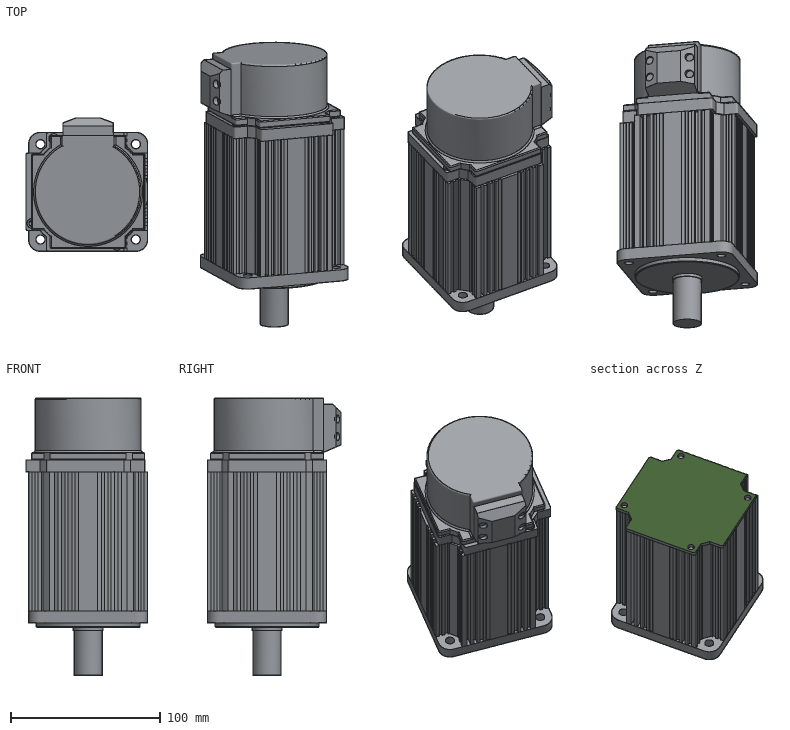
import cadquery as cq


collar_bottom = 30.1
pilot_bottom = 32.2
flange_bottom = 35.2
stator_bottom = 43.0
end_plate_bottom = 136.5
cover_bottom = 144.5
cover_base_top = 149.5
motor_top = 186.0

shaft_radius = 9.5
collar_radius = 10.0

frame_half = 40.0
frame_side = 2 * frame_half
flange_corner_radius = 8.0
bolt_offset = 32.0
bolt_hole_diameter = 6.0
pilot_radius = 35.0
pilot_chamfer = 0.5

arm_half = 26.0
core_radius = frame_half
groove_spans = [(6.3, 9.0), (11.0, 13.4), (15.5, 17.9)]
outer_groove_span = (20.0, 22.5)
shallow_groove_depth = 2.0
side_groove_spans = [(31.5, 33.7), (35.5, 37.5)]
side_groove_depth = 1.1

end_plate_shift = -1.9
end_plate_corner_radius = 1.5
screw_across = 35.7
screw_along = 21.2
screw_head_diameter = 6.7
screw_head_depth = 3.7
screw_hole_diameter = 4.0

cover_base_half = 38.0
cover_arm_half = 25.5
cover_core_radius = 39.0
cover_base_corner_radius = 1.1
cover_base_chamfer = 0.7
drum_radius = 35.5
outlet_half_width = 17.5
outlet_corner_radius = 1.1
drum_edge_radius = 1.0
drum_foot = 1.1

connector_half_width = 17.0
connector_tip_half_width = 8.2
connector_tip = 49.7
connector_bevel_depth = 3.3
connector_top = 182.0
connector_top_bevel = 5.5
connector_tip_bottom = 154.5
connector_hole_diameter = 5.4
connector_hole_x = 13.8
connector_hole_heights = [160.1, 171.9]
connector_hole_floor = 45.4


def cross(half_side, half_arm, height, corner_radius=None):
    """Plus-shaped block that fits a square, with its base at Z = 0 and optionally rounded arm ends."""
    along_x = cq.Workplane("XY").rect(2 * half_side, 2 * half_arm).extrude(height)
    along_y = cq.Workplane("XY").rect(2 * half_arm, 2 * half_side).extrude(height)
    if corner_radius:
        along_x = along_x.edges("|Z").fillet(corner_radius)
        along_y = along_y.edges("|Z").fillet(corner_radius)
    return along_x.union(along_y)


def quarter_turns(shape):
    """The shape and its copies at each quarter turn about the motor axis."""
    return [shape.rotate((0, 0, 0), (0, 0, 1), 90 * turn) for turn in range(4)]


def make_shaft():
    collar = cq.Workplane("XY").workplane(offset=collar_bottom).circle(collar_radius)
    collar = collar.extrude(pilot_bottom - collar_bottom)
    return cq.Workplane("XY").circle(shaft_radius).extrude(collar_bottom).union(collar)


def make_flange():
    plate = (
        cq.Workplane("XY")
        .workplane(offset=flange_bottom)
        .rect(frame_side, frame_side)
        .extrude(stator_bottom - flange_bottom)
        .edges("|Z")
        .fillet(flange_corner_radius)
        .faces(">Z")
        .workplane()
        .rect(2 * bolt_offset, 2 * bolt_offset, forConstruction=True)
        .vertices()
        .hole(bolt_hole_diameter)
    )
    pilot = (
        cq.Workplane("XY")
        .workplane(offset=pilot_bottom)
        .circle(pilot_radius)
        .extrude(flange_bottom - pilot_bottom)
        .faces("<Z")
        .chamfer(pilot_chamfer)
    )
    return plate.union(pilot)


def groove(x_span, y_span, height):
    """Full-height block that cuts one groove."""
    width = x_span[1] - x_span[0]
    depth = y_span[1] - y_span[0]
    corner = (x_span[0], y_span[0], 0)
    return cq.Workplane("XY").box(width, depth, height, centered=False).translate(corner)


def make_stator():
    height = end_plate_bottom - stator_bottom
    stator = cross(frame_half, arm_half, height)
    face_span = (-frame_half, -arm_half)
    shallow_span = (-frame_half, -frame_half + shallow_groove_depth)
    cutters = []
    for start, end in groove_spans:
        cutters.append(groove((start, end), face_span, height))
        cutters.append(groove((-end, -start), face_span, height))
    start, end = outer_groove_span
    cutters.append(groove((start, end), shallow_span, height))
    cutters.append(groove((-end, -start), face_span, height))
    for start, end in side_groove_spans:
        side_span = (-end, -start)
        cutters.append(groove((arm_half - side_groove_depth, arm_half), side_span, height))
        cutters.append(groove((-arm_half, side_groove_depth - arm_half), side_span, height))
    for cutter in cutters:
        for turned in quarter_turns(cutter):
            stator = stator.cut(turned)
    core = cq.Workplane("XY").circle(core_radius).extrude(height)
    return stator.union(core).translate((0, 0, stator_bottom))


def make_end_plate():
    height = cover_bottom - end_plate_bottom
    plate = cross(frame_half, arm_half, height, end_plate_corner_radius)
    plate = plate.union(cq.Workplane("XY").circle(core_radius).extrude(height))
    head_pocket = (
        cq.Workplane("XY")
        .workplane(offset=height - screw_head_depth)
        .center(screw_along, -screw_across)
        .circle(screw_head_diameter / 2)
        .extrude(screw_head_depth)
    )
    through_hole = (
        cq.Workplane("XY")
        .center(screw_along, -screw_across)
        .circle(screw_hole_diameter / 2)
        .extrude(height)
    )
    for turned in quarter_turns(head_pocket.union(through_hole)):
        plate = plate.cut(turned)
    return plate.translate((end_plate_shift, 0, end_plate_bottom))


def make_cover_base():
    height = cover_base_top - cover_bottom
    base = cross(cover_base_half, cover_arm_half, height, cover_base_corner_radius)
    base = base.faces("<Z or >Z").chamfer(cover_base_chamfer)
    fill_half = (cover_core_radius**2 - cover_arm_half**2) ** 0.5
    fill = cq.Workplane("XY").circle(cover_core_radius).extrude(height)
    fill = fill.intersect(cq.Workplane("XY").rect(2 * fill_half, 2 * fill_half).extrude(height))
    return base.union(fill).translate((0, 0, cover_bottom))


def drum_block(height, margin=0):
    """Round drum with the flat-faced cable outlet on its +Y side, widened by the margin."""
    drum = cq.Workplane("XY").circle(drum_radius + margin).extrude(height)
    outlet = (
        cq.Workplane("XY")
        .rect(2 * (outlet_half_width + margin), 2 * cover_base_half)
        .extrude(height)
        .edges("|Z and >Y")
        .fillet(outlet_corner_radius)
    )
    front_half = cq.Workplane("XY").center(0, -frame_half).rect(frame_side, frame_side).extrude(height)
    return drum.union(outlet.cut(front_half))


def make_drum():
    """Drum that starts below the chamfer of the cover base, with a sloped foot around it."""
    base_level = cover_base_top - cover_base_chamfer
    drum = drum_block(motor_top - base_level).faces(">Z").edges().fillet(drum_edge_radius)
    foot = drum_block(cover_base_chamfer + drum_foot, drum_foot)
    foot = foot.faces(">Z").edges("not >Y").chamfer(drum_foot)
    return drum.union(foot).translate((0, 0, base_level))


def make_cover():
    return make_cover_base().union(make_drum())


def make_connector():
    profile = [
        (cover_base_half, cover_base_top),
        (connector_tip, connector_tip_bottom),
        (connector_tip, connector_top - connector_top_bevel),
        (connector_tip - connector_top_bevel, connector_top),
        (cover_base_half, connector_top),
    ]
    outline = [
        (-connector_half_width, cover_base_half),
        (connector_half_width, cover_base_half),
        (connector_half_width, connector_tip - connector_bevel_depth),
        (connector_tip_half_width, connector_tip),
        (-connector_tip_half_width, connector_tip),
        (-connector_half_width, connector_tip - connector_bevel_depth),
    ]
    side_shape = cq.Workplane("YZ").polyline(profile).close().extrude(connector_half_width, both=True)
    connector = cq.Workplane("XY").polyline(outline).close().extrude(motor_top).intersect(side_shape)
    hole_points = [(side * connector_hole_x, z) for side in (-1, 1) for z in connector_hole_heights]
    holes = (
        cq.Workplane("XZ", origin=(0, connector_tip, 0))
        .pushPoints(hole_points)
        .circle(connector_hole_diameter / 2)
        .extrude(connector_tip - connector_hole_floor)
    )
    return connector.cut(holes)


shaft = make_shaft()
flange = make_flange()
stator = make_stator()
end_plate = make_end_plate()
cover = make_cover()
connector = make_connector()

result = cq.Compound.makeCompound(
    [shaft.val(), flange.val(), stator.val(), end_plate.val(), cover.val(), connector.val()]
)